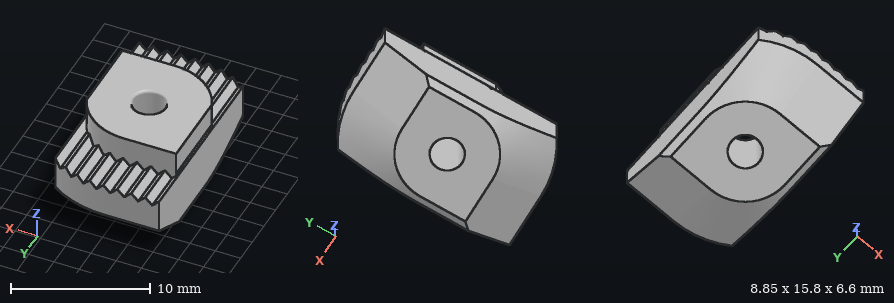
import cadquery as cq
import math

width = 8.85
length = 15.75
height = 6.6

base_top = 4.75
taper_height = 2.0
bottom_half_length = 3.8

block_width = 8.43
block_length = 9.0

tooth_count = 8
tooth_pitch = width / tooth_count
tooth_depth = tooth_pitch / 2

hole_diameter = 2.53
rim_fillet = 0.25


def turning_profile(half_size, z):
    """Square centred on Z, with the (+X, +Y) and (-X, -Y) corners rounded about Z."""
    arc_middle = half_size / math.sqrt(2)
    return (
        cq.Workplane("XY", origin=(0, 0, z))
        .moveTo(-half_size, half_size)
        .lineTo(0, half_size)
        .threePointArc((arc_middle, arc_middle), (half_size, 0))
        .lineTo(half_size, -half_size)
        .lineTo(0, -half_size)
        .threePointArc((-arc_middle, -arc_middle), (-half_size, 0))
        .close()
    )


def slab(slab_width):
    """Full-height slab that trims a turning profile to its width along X."""
    return cq.Workplane("XY").box(slab_width, length, height, centered=(True, True, False))


def make_base():
    """Prism over a tapered foot, trimmed to the nut width."""
    half_length = length / 2
    prism = turning_profile(half_length, taper_height).extrude(base_top - taper_height)
    bottom_wire = turning_profile(bottom_half_length, 0).val()
    shoulder_wire = turning_profile(half_length, taper_height).val()
    foot = cq.Workplane(cq.Solid.makeLoft([bottom_wire, shoulder_wire], True))
    return prism.union(foot).intersect(slab(width))


def make_serration_cutter():
    """V-grooves along Y, kept clear of the footprint of the guide block."""
    grooves = cq.Workplane("XZ", origin=(0, length / 2, 0))
    for index in range(tooth_count):
        left_peak = -width / 2 + index * tooth_pitch
        grooves = grooves.polyline([
            (left_peak, base_top),
            (left_peak + tooth_pitch / 2, base_top - tooth_depth),
            (left_peak + tooth_pitch, base_top),
        ]).close()
    grooves = grooves.extrude(length)
    footprint = turning_profile(block_length / 2, 0).extrude(height)
    return grooves.cut(footprint)


def make_block():
    """Guide block standing on the base."""
    block = turning_profile(block_length / 2, base_top).extrude(height - base_top)
    return block.intersect(slab(block_width))


def cut_hole(body):
    """Through hole with a rounded upper rim."""
    hole = cq.Workplane("XY").circle(hole_diameter / 2).extrude(height)
    rim = cq.selectors.RadiusNthSelector(0)
    return body.cut(hole).faces(">Z").edges("%CIRCLE").edges(rim).fillet(rim_fillet)


serrated_base = make_base().cut(make_serration_cutter())
result = cut_hole(serrated_base.union(make_block()))